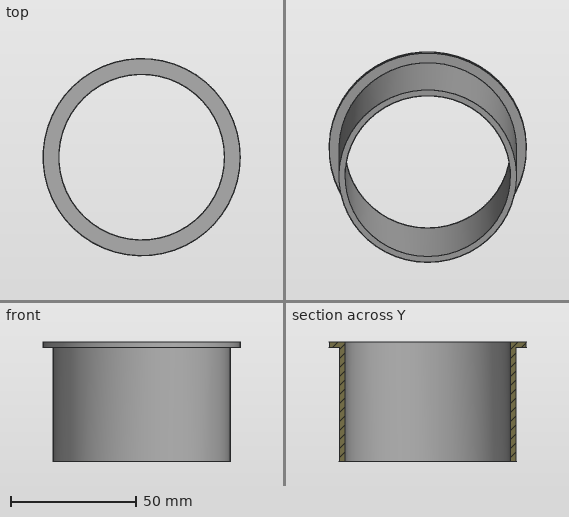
import cadquery as cq

flange_diameter = 78.75
tube_diameter = 70.9
bore_diameter = 66.0
total_height = 47.8
flange_thickness = 2.3

tube_height = total_height - flange_thickness

tube = cq.Workplane("XY").circle(tube_diameter / 2).extrude(tube_height)

flange = (
    cq.Workplane("XY", origin=(0, 0, tube_height))
    .circle(flange_diameter / 2)
    .extrude(flange_thickness)
)

bore = cq.Workplane("XY").circle(bore_diameter / 2).extrude(total_height)

result = tube.union(flange).cut(bore)